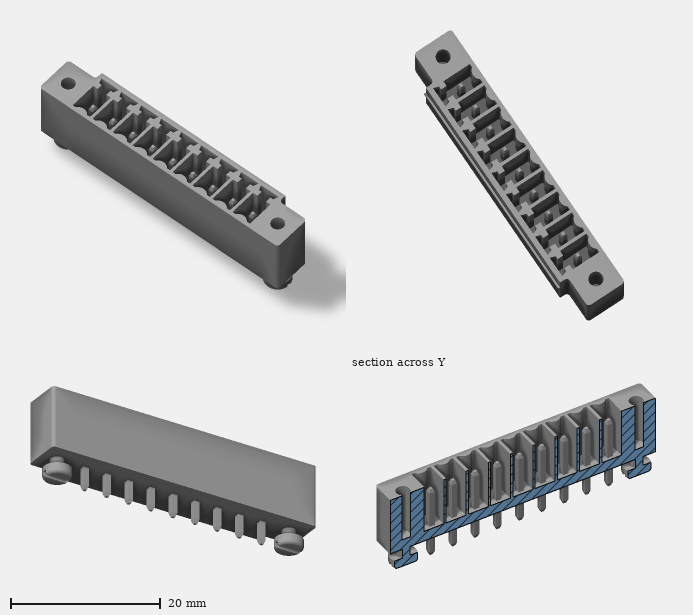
import cadquery as cq

length = 41.8
housing_height = 9.25
flange_depth = 6.0
front_y = -flange_depth / 2
flange_rear_y = flange_depth / 2
rear_y = front_y + 7.27
center_width = 32.2
corner_radius = 0.5

ridge_depth = 0.3
ridge_height = 0.63
ridge_top_z = housing_height - 2.9

pin_count = 9
pin_row_span = 28.0
pin_pitch = pin_row_span / (pin_count - 1)
chamber_width = 3.05
chamber_depth = 7.52
chamber_front_y = front_y + 0.6
shoulder_y = front_y + 4.85
neck_rear_y = front_y + 5.73
chamber_rear_y = front_y + 6.5
neck_width = 1.5
dovetail_width = 2.45
rib_width = 2.0
rib_height = 0.5

pin_size = 0.85
pin_tip_size = 0.4
pin_tip_length = 0.6
pin_bottom_z = -3.35
pin_top_z = 7.9

screw_x = 18.35
screw_diameter = 2.0
screw_hole_depth = 7.52
head_diameter = 4.0
head_top_z = -1.42
head_height = 1.45
head_radius = 0.45
slot_width = 0.65
slot_depth = 0.7

pin_positions = [i * pin_pitch - pin_row_span / 2 for i in range(pin_count)]
screw_positions = [-screw_x, screw_x]


def make_housing():
    """Flanged block with rounded vertical edges, except at the two rear corners of the center."""
    flanges = (
        cq.Workplane("XY")
        .box(length, flange_depth, housing_height, centered=(True, True, False))
        .edges("|Z")
        .fillet(corner_radius)
    )
    center = (
        cq.Workplane("XY")
        .box(center_width, rear_y - front_y, housing_height, centered=(True, False, False))
        .translate((0, front_y, 0))
    )
    margin = 0.05
    inner_corners = cq.selectors.BoxSelector(
        (-center_width / 2 - margin, flange_rear_y - margin, -margin),
        (center_width / 2 + margin, flange_rear_y + margin, housing_height + margin),
    )
    return flanges.union(center).edges("|Z").edges(inner_corners).fillet(corner_radius)


def make_ridge():
    """Square ridge running the full width of the rear wall, overlapping it slightly."""
    overlap = 0.2
    return (
        cq.Workplane("XY")
        .box(center_width, ridge_depth + overlap, ridge_height, centered=(True, False, False))
        .translate((0, rear_y - overlap, ridge_top_z - ridge_height))
    )


def make_chamber():
    """Keyed pocket: wide front with a rounded rib, narrow neck, dovetail at the rear."""
    half_width = chamber_width / 2
    half_neck = neck_width / 2
    half_dovetail = dovetail_width / 2
    half_rib = rib_width / 2
    return (
        cq.Workplane("XY", origin=(0, 0, housing_height - chamber_depth))
        .moveTo(-half_rib, chamber_front_y)
        .threePointArc((0, chamber_front_y + rib_height), (half_rib, chamber_front_y))
        .lineTo(half_width, chamber_front_y)
        .lineTo(half_width, shoulder_y)
        .lineTo(half_neck, shoulder_y)
        .lineTo(half_neck, neck_rear_y)
        .lineTo(half_dovetail, neck_rear_y)
        .lineTo(half_width, chamber_rear_y)
        .lineTo(-half_width, chamber_rear_y)
        .lineTo(-half_dovetail, neck_rear_y)
        .lineTo(-half_neck, neck_rear_y)
        .lineTo(-half_neck, shoulder_y)
        .lineTo(-half_width, shoulder_y)
        .lineTo(-half_width, chamber_front_y)
        .close()
        .extrude(chamber_depth)
    )


def make_pin():
    """Square pin with a tapered tip at both ends."""
    shaft_bottom_z = pin_bottom_z + pin_tip_length
    shaft_top_z = pin_top_z - pin_tip_length
    shaft_length = shaft_top_z - shaft_bottom_z
    shaft = (
        cq.Workplane("XY", origin=(0, 0, shaft_bottom_z))
        .rect(pin_size, pin_size)
        .extrude(shaft_length)
    )
    upper_tip = (
        shaft.faces(">Z")
        .workplane()
        .rect(pin_size, pin_size)
        .workplane(offset=pin_tip_length)
        .rect(pin_tip_size, pin_tip_size)
        .loft(combine=False)
    )
    lower_tip = upper_tip.mirror("XY", (0, 0, (shaft_bottom_z + shaft_top_z) / 2))
    return shaft.union(upper_tip).union(lower_tip)


def make_screw():
    """Shank below the housing with a rounded head, slotted along X."""
    shank = (
        cq.Workplane("XY", origin=(0, 0, head_top_z))
        .circle(screw_diameter / 2)
        .extrude(-head_top_z)
    )
    head_bottom_z = head_top_z - head_height
    head = (
        cq.Workplane("XY", origin=(0, 0, head_bottom_z))
        .circle(head_diameter / 2)
        .extrude(head_height)
        .faces("<Z")
        .edges()
        .fillet(head_radius)
    )
    slot = (
        cq.Workplane("XY", origin=(0, 0, head_bottom_z))
        .rect(head_diameter, slot_width)
        .extrude(slot_depth)
    )
    return head.cut(slot).union(shank)


def make_screw_hole():
    """Blind hole sunk into the flange from the top."""
    return (
        cq.Workplane("XY", origin=(0, 0, housing_height - screw_hole_depth))
        .circle(screw_diameter / 2)
        .extrude(screw_hole_depth)
    )


result = make_housing().union(make_ridge())

chamber = make_chamber()
pin = make_pin()
for x in pin_positions:
    result = result.cut(chamber.translate((x, 0, 0))).union(pin.translate((x, 0, 0)))

screw = make_screw()
screw_hole = make_screw_hole()
for x in screw_positions:
    result = result.cut(screw_hole.translate((x, 0, 0))).union(screw.translate((x, 0, 0)))